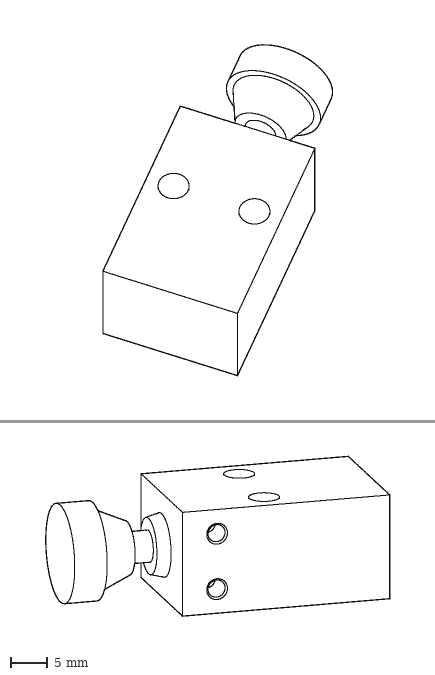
import cadquery as cq

block_width = 20.0
block_length = 30.0
block_height = 15.0

mount_diameter = 4.3
mount_spacing = 12.0
mount_y = 17.0

port_diameter = 2.46
port_rim_diameter = 3.0
port_spacing = 8.0
port_y = 25.0
port_depth = 5.0

collar_base_diameter = 9.0
collar_tip_diameter = 8.0
collar_length = 1.9
stem_diameter = 4.5
stem_length = 3.1
skirt_small_diameter = 7.6
skirt_large_diameter = 12.0
skirt_length = 5.0
cap_diameter = 14.0
knob_length = 16.0
crown_height = 1.3


def make_block():
    return cq.Workplane("XY").box(
        block_width, block_length, block_height, centered=(True, False, True)
    )


def make_mounting_holes():
    return (
        cq.Workplane("XY", origin=(0, mount_y, -block_height / 2))
        .pushPoints([(-mount_spacing / 2, 0), (mount_spacing / 2, 0)])
        .circle(mount_diameter / 2)
        .extrude(block_height)
    )


def make_port(z):
    """Blind hole along +X with a 45 degree countersunk rim."""
    radius = port_diameter / 2
    rim_radius = port_rim_diameter / 2
    mouth = cq.Vector(-block_width / 2, port_y, z)
    inward = cq.Vector(1, 0, 0)
    bore = cq.Solid.makeCylinder(radius, port_depth, mouth, inward)
    rim = cq.Solid.makeCone(rim_radius, radius, rim_radius - radius, mouth, inward)
    return bore.fuse(rim)


def make_knob():
    collar_end = block_length + collar_length
    stem_end = collar_end + stem_length
    skirt_end = stem_end + skirt_length
    knob_tip = block_length + knob_length
    cap_end = knob_tip - crown_height
    profile = [
        (0, block_length),
        (collar_base_diameter / 2, block_length),
        (collar_tip_diameter / 2, collar_end),
        (stem_diameter / 2, collar_end),
        (stem_diameter / 2, stem_end),
        (skirt_small_diameter / 2, stem_end),
        (skirt_large_diameter / 2, skirt_end),
        (cap_diameter / 2, skirt_end),
        (cap_diameter / 2, cap_end),
        (0, knob_tip),
    ]
    return cq.Workplane("XY").polyline(profile).close().revolve(360, (0, 0, 0), (0, 1, 0))


result = make_block().union(make_knob()).cut(make_mounting_holes())
for port_z in (-port_spacing / 2, port_spacing / 2):
    result = result.cut(cq.Workplane(make_port(port_z)))